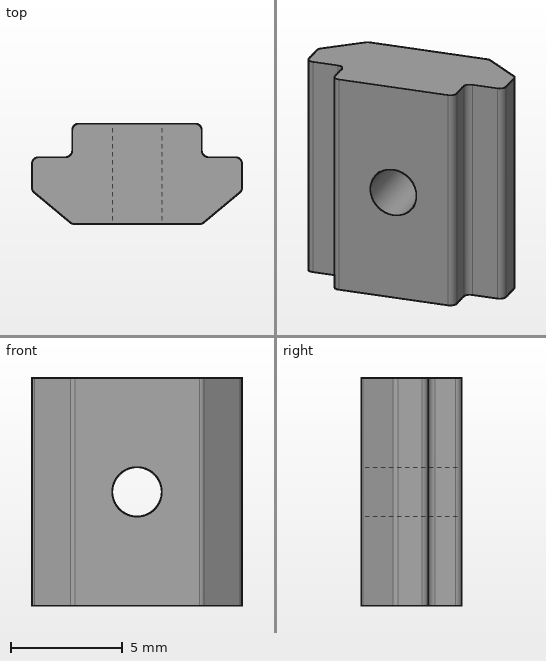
import cadquery as cq

length = 10.2
flange_width = 9.4
stem_width = 5.8
level = 1.5
corner_radius = 0.3
hole_diameter = 2.2

taper_top = level
flange_top = 2 * level
stem_top = 3 * level


def make_body():
    """T-shaped profile with a tapered base, extruded along Z and rounded."""
    flange_x = flange_width / 2
    stem_x = stem_width / 2
    right_side = [
        (stem_x, 0),
        (flange_x, taper_top),
        (flange_x, flange_top),
        (stem_x, flange_top),
        (stem_x, stem_top),
    ]
    left_side = [(-x, y) for x, y in reversed(right_side)]
    profile = cq.Workplane("XY").polyline(right_side + left_side).close()
    return profile.extrude(length / 2, both=True).edges("|Z").fillet(corner_radius)


def make_hole():
    """Plain hole through the full depth, centred on the base face."""
    circle = cq.Workplane("XZ").circle(hole_diameter / 2)
    return circle.extrude(-stem_top)


result = make_body().cut(make_hole())